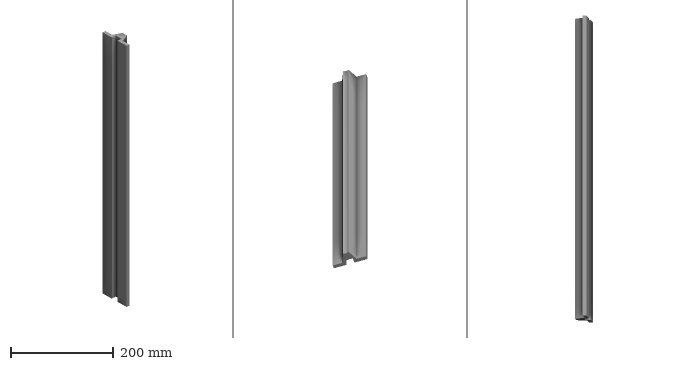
import cadquery as cq

length = 599.5
width = 69.0
height = 28.0

flange_thickness = 7.0
crown_base_width = 30.0
crown_top_width = 11.5
crown_dip = 1.0
slot_width = 16.0
slot_depth = 11.0

right_half = [
    (slot_width / 2, slot_depth),
    (slot_width / 2, 0),
    (width / 2, 0),
    (width / 2, flange_thickness),
    (crown_base_width / 2, flange_thickness),
    (crown_top_width / 2, height),
]
left_half = [(-x, y) for x, y in reversed(right_half)]

profile = (
    cq.Workplane("XY")
    .polyline(left_half + right_half)
    .threePointArc((0, height - crown_dip), left_half[0])
    .close()
)

result = profile.extrude(length)